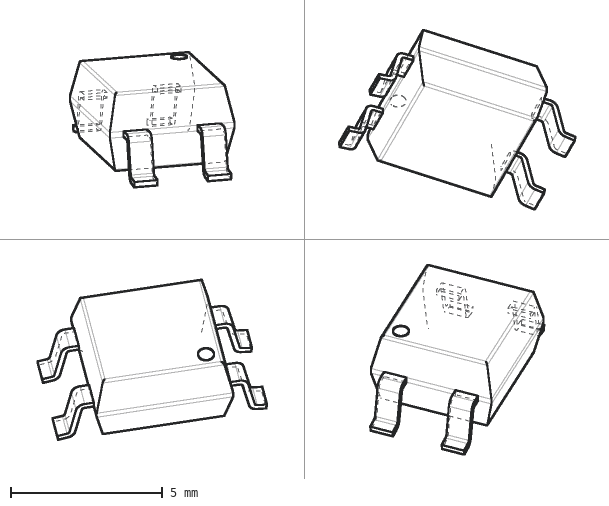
import cadquery as cq
import math

lead_span = 7.06
body_length = 4.595
body_width = 4.29
total_height = 2.85
standoff = 0.155

draft_angle = 12.0
body_edge_radius = 0.1

lead_thickness = 0.2
lead_width = 0.8
lead_pitch = 2.54
lead_top = 1.595
shoulder_x = 2.845
leg_lean = 12.0
foot_slope = 8.0
inner_bend_radius = 0.1
outer_bend_radius = inner_bend_radius + lead_thickness

mark_diameter = 0.53
mark_depth = 0.02
mark_x = -1.53
mark_y = 1.385

lead_bottom = lead_top - lead_thickness


def make_body():
    """Straight middle band with drafted upper and lower halves and rounded rims."""
    band = cq.Workplane("XY", origin=(0, 0, lead_bottom)).rect(body_length, body_width)
    band = band.extrude(lead_thickness)
    upper = band.faces(">Z").wires().toPending().workplane()
    upper = upper.extrude(total_height - lead_top, taper=draft_angle, combine=False)
    lower = band.faces("<Z").wires().toPending().workplane()
    lower = lower.extrude(lead_bottom - standoff, taper=draft_angle, combine=False)
    body = band.union(upper).union(lower)
    return body.faces("<Z or >Z").edges().fillet(body_edge_radius)


def make_left_lead():
    """Gull-wing lead on the -X side, centred on Y = 0."""
    lean = math.radians(leg_lean)
    slope = math.radians(foot_slope)
    shoulder_miter = lead_thickness * math.tan((math.pi / 2 - lean) / 2)
    ankle_miter = lead_thickness * math.tan((math.pi / 2 - lean - slope) / 2)
    across_x = lead_thickness * math.sin(slope)
    across_z = lead_thickness * math.cos(slope)

    tip_x = -lead_span / 2
    leg_x_at_tip = -shoulder_x - (lead_top - across_z) * math.tan(lean)
    foot_run = (leg_x_at_tip - tip_x) / (1 - math.tan(lean) * math.tan(slope))

    shoulder_outer = (-shoulder_x, lead_top)
    shoulder_inner = (-shoulder_x + shoulder_miter, lead_bottom)
    ankle_inner = (tip_x + foot_run, across_z + foot_run * math.tan(slope))
    ankle_outer = (
        ankle_inner[0] + across_x + ankle_miter * math.cos(slope),
        ankle_inner[1] - across_z + ankle_miter * math.sin(slope),
    )
    outline = [
        (-body_length / 2, lead_top),
        shoulder_outer,
        ankle_inner,
        (tip_x, across_z),
        (tip_x + across_x, 0),
        ankle_outer,
        shoulder_inner,
        (-body_length / 2, lead_bottom),
    ]
    lead = cq.Workplane("XZ").polyline(outline).close().extrude(lead_width / 2, both=True)

    bends = [
        (shoulder_outer, outer_bend_radius),
        (shoulder_inner, inner_bend_radius),
        (ankle_inner, inner_bend_radius),
        (ankle_outer, outer_bend_radius),
    ]
    for (x, z), radius in bends:
        corner = cq.selectors.NearestToPointSelector((x, 0, z))
        lead = lead.edges("|Y").edges(corner).fillet(radius)
    return lead


result = make_body()

left_lead = make_left_lead()
for lead in (left_lead, left_lead.mirror("YZ")):
    for y in (-lead_pitch / 2, lead_pitch / 2):
        result = result.union(lead.translate((0, y, 0)))

mark = cq.Workplane("XY", origin=(mark_x, mark_y, total_height))
mark = mark.circle(mark_diameter / 2).extrude(-mark_depth)
result = result.cut(mark)